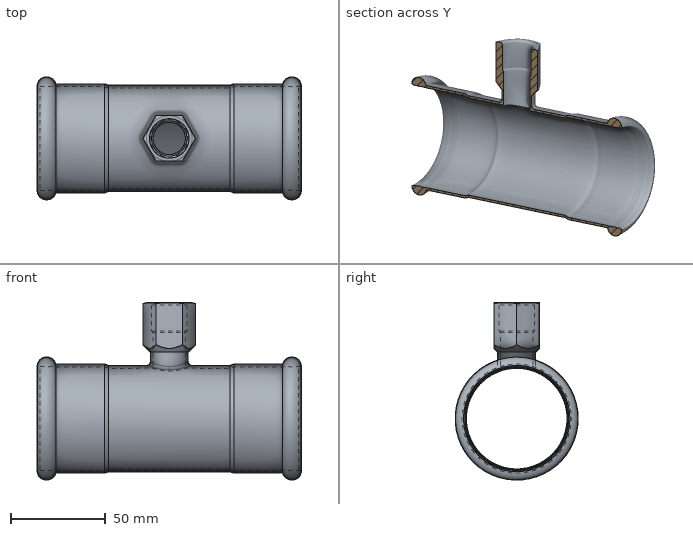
import cadquery as cq
import math

overall_length = 139.0
wall = 1.5
tube_radius = 56.0 / 2
socket_radius = 57.5 / 2
step_inner_x = 32.0
step_outer_x = 34.0

bead_arc_radius = 5.0
bead_outer_radius = 64.76 / 2
mouth_radius = 56.0 / 2
land_radius = 54.7 / 2
seal_radius = 54.4 / 2
mouth_cone_depth = 1.5
seal_start_depth = 3.6
seal_end_depth = 6.3
shoulder_start_depth = 9.3
shoulder_end_depth = 10.1

branch_top_z = 61.0
hex_bottom_z = 34.95
hex_across_flats = 24.0
hex_top_chamfer_angle = 15.0
cone_angle = 45.0
neck_radius = 20.0 / 2
weld_radius = 1.8

through_radius = 17.0 / 2
thread_radius = 18.63 / 2
thread_mouth_radius = 20.8 / 2
thread_depth = 15.0

clearance = 1.0

end_x = overall_length / 2
tube_bore_radius = tube_radius - wall
socket_bore_radius = socket_radius - wall
bead_center_radius = bead_outer_radius - bead_arc_radius


def bead_half_width(radius):
    """Axial distance from the bead centre to its arc at a given radius."""
    return math.sqrt(bead_arc_radius**2 - (radius - bead_center_radius) ** 2)


bead_x = end_x - bead_half_width(mouth_radius)
bead_back_x = bead_x - bead_half_width(socket_radius)


def revolve_both_ends(profile):
    """Revolve a +X half profile about the X axis and mirror it to -X."""
    half = profile.revolve(360, (0, 0, 0), (1, 0, 0))
    return half.union(half.mirror("YZ"))


def run_outside():
    """Solid outside of the run: middle tube, sockets and beads."""
    profile = (
        cq.Workplane("XY")
        .lineTo(0, tube_radius)
        .lineTo(step_inner_x, tube_radius)
        .lineTo(step_outer_x, socket_radius)
        .lineTo(bead_back_x, socket_radius)
        .threePointArc((bead_x, bead_outer_radius), (end_x, mouth_radius))
        .lineTo(end_x, 0)
        .close()
    )
    return revolve_both_ends(profile)


def run_bore():
    """Inner space of the run, narrowed at each mouth by the seal ring."""
    seal_mid_depth = (seal_start_depth + seal_end_depth) / 2
    profile = (
        cq.Workplane("XY")
        .lineTo(0, tube_bore_radius)
        .lineTo(step_inner_x, tube_bore_radius)
        .lineTo(step_outer_x, socket_bore_radius)
        .lineTo(end_x - shoulder_end_depth, socket_bore_radius)
        .lineTo(end_x - shoulder_start_depth, land_radius)
        .lineTo(end_x - seal_end_depth, land_radius)
        .threePointArc(
            (end_x - seal_mid_depth, seal_radius),
            (end_x - seal_start_depth, land_radius),
        )
        .lineTo(end_x - mouth_cone_depth, land_radius)
        .lineTo(end_x, mouth_radius)
        .lineTo(end_x, 0)
        .close()
    )
    return revolve_both_ends(profile)


def run_with_neck():
    """Run with the round neck standing on it and a weld fillet at the joint."""
    neck = cq.Workplane("XY").circle(neck_radius).extrude(hex_bottom_z)
    lowest_joint_z = math.sqrt(tube_radius**2 - neck_radius**2)
    reach = neck_radius + clearance
    joint_zone = cq.selectors.BoxSelector(
        (-reach, -reach, lowest_joint_z - clearance),
        (reach, reach, tube_radius + clearance),
    )
    return run_outside().union(neck).edges(joint_zone).fillet(weld_radius)


def hexagon():
    """Hexagon turned to a cone underneath and lightly chamfered on top."""
    corner_radius = hex_across_flats / math.sqrt(3)
    prism = (
        cq.Workplane("XY", origin=(0, 0, hex_bottom_z))
        .polygon(6, 2 * corner_radius)
        .extrude(branch_top_z - hex_bottom_z)
    )
    top_radius = hex_across_flats / 2
    rim_radius = corner_radius + clearance
    cone_rise = (rim_radius - neck_radius) * math.tan(math.radians(cone_angle))
    chamfer_drop = (rim_radius - top_radius) * math.tan(math.radians(hex_top_chamfer_angle))
    turned_envelope = (
        cq.Workplane("XZ")
        .moveTo(0, hex_bottom_z)
        .lineTo(neck_radius, hex_bottom_z)
        .lineTo(rim_radius, hex_bottom_z + cone_rise)
        .lineTo(rim_radius, branch_top_z - chamfer_drop)
        .lineTo(top_radius, branch_top_z)
        .lineTo(0, branch_top_z)
        .close()
        .revolve(360, (0, 0, 0), (0, 1, 0))
    )
    return prism.intersect(turned_envelope)


def branch_bore():
    """Thread bore with 45 degree mouth and floor cones, above a through hole."""
    mouth_chamfer = thread_mouth_radius - thread_radius
    thread_floor_z = branch_top_z - thread_depth
    floor_cone = thread_radius - through_radius
    return (
        cq.Workplane("XZ")
        .lineTo(through_radius, 0)
        .lineTo(through_radius, thread_floor_z - floor_cone)
        .lineTo(thread_radius, thread_floor_z)
        .lineTo(thread_radius, branch_top_z - mouth_chamfer)
        .lineTo(thread_mouth_radius, branch_top_z)
        .lineTo(0, branch_top_z)
        .close()
        .revolve(360, (0, 0, 0), (0, 1, 0))
    )


result = run_with_neck().union(hexagon()).cut(run_bore()).cut(branch_bore())